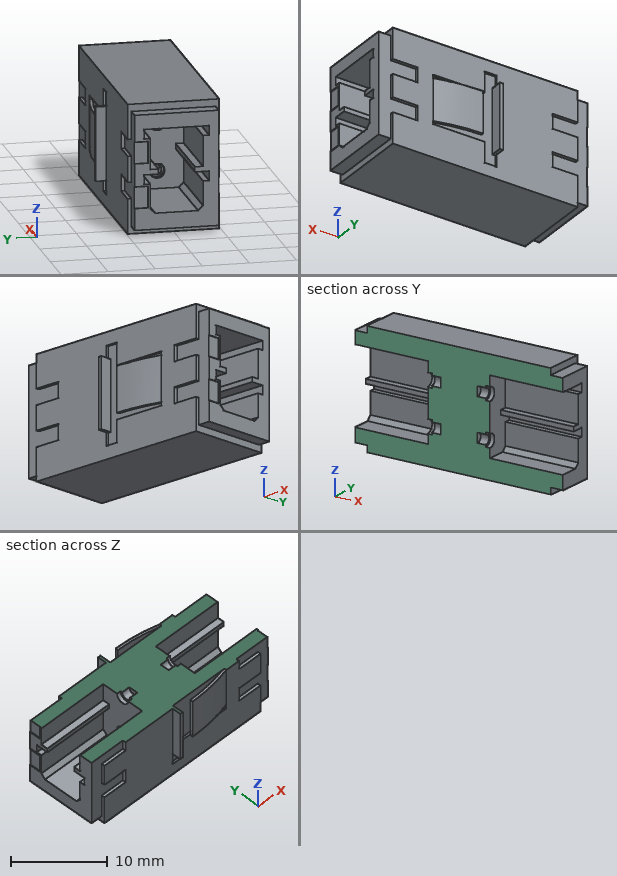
import cadquery as cq

core_length = 26.15
core_width = 8.95
core_height = 12.4

sleeve_length = 23.13
sleeve_width = 9.73
sleeve_height = 13.97
core_side = core_width / 2
sleeve_side = sleeve_width / 2

notch_length = 3.15
notch_height = 1.8
notch_offset = 2.3

recess_depth = 0.3
recess_floor = sleeve_side - recess_depth
slot_start = -1.46
slot_end = 0.05
slot_height = 11.0
window_end = 6.51
window_height = 5.96

tab_thickness = 0.4
tab_height = 8.0
tab_span = 11.98

spring_start = 0.75
spring_height = 5.13
spring_thickness = 0.35
spring_tip = 5.6
spring_radius = 21.97
spring_anchor = 0.13

cavity_depth = 9.15
cavity_half_width = 2.8
key_half_width = 3.45
rib_half_gap = 1.94
cavity_top = 4.6
upper_key_bottom = 3.58
rib_top = 0.25
rib_bottom = -0.3
lower_key_bottom = -1.3
cavity_bottom = -4.47
corner_chamfer = 0.52

bore_offset = 2.56
bore_radius = 0.55
bore_depth = 1.57
counterbore_radius = 0.78
counterbore_depth = 0.52

label_inner = 3.03
label_height = 2.33
label_depth = 0.08
label_centers = (2.12, -2.7)


def box(x_range, y_range, z_center, height):
    """Box between two X and two Y places, centred on a height."""
    length = x_range[1] - x_range[0]
    width = y_range[1] - y_range[0]
    center = (sum(x_range) / 2, sum(y_range) / 2, z_center)
    return cq.Workplane("XY").box(length, width, height).translate(center)


def sleeve_notches():
    """The four notches of the -Y side wall."""
    outer = sleeve_length / 2
    notches = cq.Workplane("XY")
    for x_range in ((-outer, notch_length - outer), (outer - notch_length, outer)):
        for z in (-notch_offset, notch_offset):
            notches = notches.add(box(x_range, (-sleeve_side, -core_side), z, notch_height))
    return notches.combine()


def side_recess():
    """Upright slot joined to the spring window, on the -Y side."""
    y_range = (-sleeve_side, -recess_floor)
    slot = box((slot_start, slot_end), y_range, 0, slot_height)
    window = box((slot_start, window_end), y_range, 0, window_height)
    return slot.union(window)


def flange_tab():
    """Flange tab on the -Y side."""
    return box((slot_start, slot_start + tab_thickness), (-tab_span / 2, -core_side), 0, tab_height)


def leaf_spring():
    """Arc-shaped leaf spring on the -Y side, cut from a ring centred level with its tip."""
    ring = (
        cq.Workplane("XY")
        .center(spring_start, spring_radius - spring_tip)
        .circle(spring_radius)
        .circle(spring_radius - spring_thickness)
        .extrude(spring_height / 2, both=True)
    )
    x_range = (spring_start, window_end + spring_anchor)
    return ring.intersect(box(x_range, (-spring_tip, 0), 0, spring_height))


def plug_cavity():
    """Keyed cavity with contact bores, opening at the -X end."""
    half_outline = [
        (key_half_width, cavity_top),
        (key_half_width, upper_key_bottom),
        (cavity_half_width, upper_key_bottom),
        (cavity_half_width, rib_top),
        (rib_half_gap, rib_top),
        (rib_half_gap, rib_bottom),
        (key_half_width, rib_bottom),
        (key_half_width, lower_key_bottom),
        (cavity_half_width, lower_key_bottom),
        (cavity_half_width, cavity_bottom + corner_chamfer),
        (cavity_half_width - corner_chamfer, cavity_bottom),
    ]
    mirrored_half = [(-y, z) for y, z in reversed(half_outline)]
    mouth = cq.Workplane("YZ", origin=(-core_length / 2, 0, 0))
    cavity = mouth.polyline(half_outline + mirrored_half).close().extrude(cavity_depth)

    floor = cq.Workplane("YZ", origin=(cavity_depth - core_length / 2, 0, 0))
    bore_points = floor.pushPoints([(0, bore_offset), (0, -bore_offset)])
    bores = bore_points.circle(bore_radius).extrude(bore_depth)
    counterbores = bore_points.circle(counterbore_radius).extrude(counterbore_depth)
    return cavity.union(bores).union(counterbores)


def label_recesses():
    """Two label recesses in the -X end face, on the +Y side."""
    x_range = (-core_length / 2, label_depth - core_length / 2)
    recesses = cq.Workplane("XY")
    for z in label_centers:
        recesses = recesses.add(box(x_range, (label_inner, core_side), z, label_height))
    return recesses.combine()


def half_turn(shape):
    """Copy turned half way round the Z axis, onto the opposite end."""
    return shape.rotate((0, 0, 0), (0, 0, 1), 180)


core = cq.Workplane("XY").box(core_length, core_width, core_height)
sleeve = cq.Workplane("XY").box(sleeve_length, sleeve_width, sleeve_height)
result = core.union(sleeve)

for cutter in (sleeve_notches(), side_recess()):
    result = result.cut(cutter).cut(cutter.mirror("XZ"))
for fitting in (flange_tab(), leaf_spring()):
    result = result.union(fitting).union(fitting.mirror("XZ"))

for cutter in (plug_cavity(), label_recesses()):
    result = result.cut(cutter).cut(half_turn(cutter))